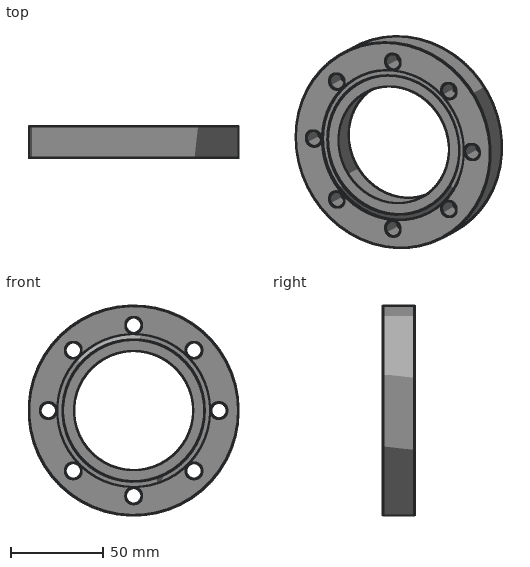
import cadquery as cq
import math

outer_radius = 56.8
bore_radius = 32.1
thickness = 17.4
rim_chamfer = 0.3

bolt_count = 8
bolt_circle_radius = 46.1
bolt_hole_radius = 4.2
bolt_hole_chamfer = 0.3

recess_radius = 41.3
knife_radius = 38.5
ledge_radius = 38.1
knife_depth = 0.7
ledge_depth = 1.1
knife_slope = 20.0
recess_depth = knife_depth + (recess_radius - knife_radius) * math.tan(math.radians(knife_slope))

front = -thickness / 2
back = thickness / 2


def make_ring():
    """Revolve the (radius, Y) section, symmetric about the mid-plane, around the Y axis."""
    front_half = [
        (bore_radius, front + ledge_depth),
        (ledge_radius, front + ledge_depth),
        (knife_radius, front + knife_depth),
        (recess_radius, front + recess_depth),
        (recess_radius, front),
        (outer_radius - rim_chamfer, front),
        (outer_radius, front + rim_chamfer),
    ]
    back_half = [(radius, -y) for radius, y in reversed(front_half)]
    section = front_half + back_half
    return cq.Workplane("XY").polyline(section).close().revolve(360, (0, 0, 0), (0, 1, 0))


def make_bolt_cutter():
    """Through hole on the Z side of the bolt circle, flared at both faces."""
    flare_radius = bolt_hole_radius + bolt_hole_chamfer
    half_section = [
        (0, front),
        (flare_radius, front),
        (bolt_hole_radius, front + bolt_hole_chamfer),
        (bolt_hole_radius, back - bolt_hole_chamfer),
        (flare_radius, back),
        (0, back),
    ]
    cutter = cq.Workplane("XY").polyline(half_section).close().revolve(360, (0, 0, 0), (0, 1, 0))
    return cutter.translate((0, 0, bolt_circle_radius))


result = make_ring()
bolt_cutter = make_bolt_cutter()
for index in range(bolt_count):
    angle = index * 360 / bolt_count
    result = result.cut(bolt_cutter.rotate((0, 0, 0), (0, 1, 0), angle))